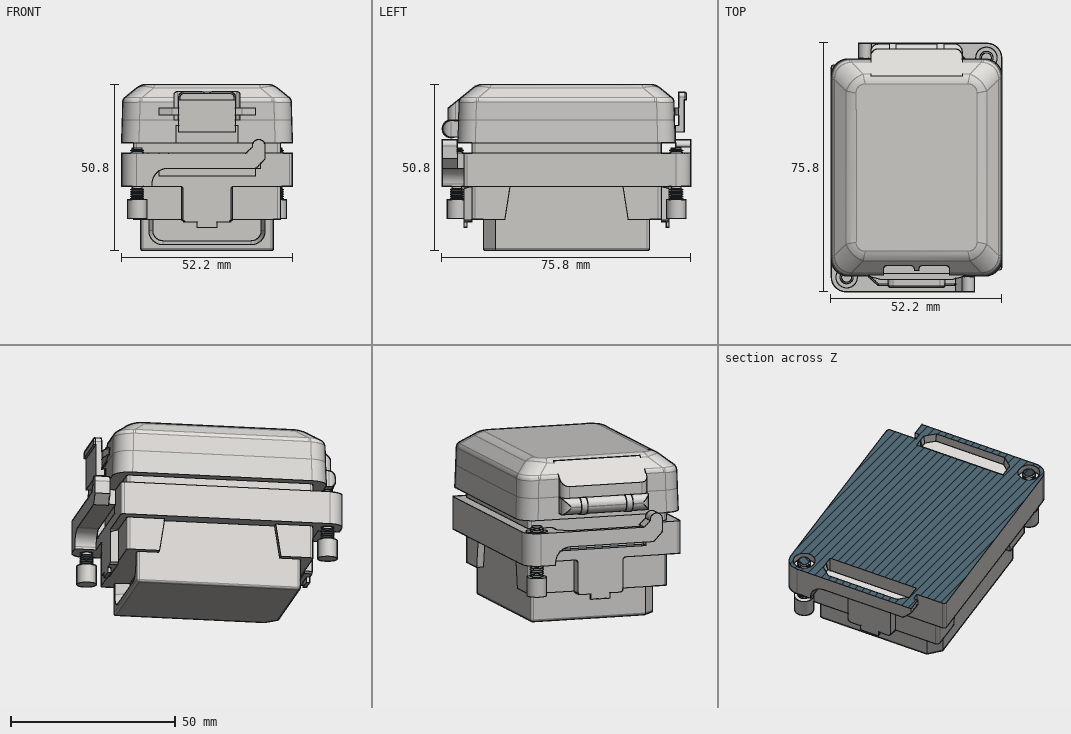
import cadquery as cq
import math

box_top = 9.55
flange_bottom = 19.65
flange_top = 29.7
cover_bottom = 32.9
draft_change = 39.8
shoulder_z = 46.2
cover_top = 50.75

flange_half_x = 26.0
flange_half_y = 31.3
flange_corner = 0.9
neck_half_x = 22.45
neck_half_y = 28.9
neck_corner = 1.0
box_half_x = 20.25
box_half_y = 25.3
box_edge = 0.75
box_bottom_edge = 0.7
box_chamfer = 3.65
skirt_gap_top = 17.2
skirt_gap_bottom = 18.8
arm_outer_y = 37.9
hook_inner_y = 33.3
arm_bottom = 25.1
arm_end_x = 14.95
root_end_x = 16.3
arm_bend_radius = 4.7
arm_bend_x = -16.8
hook_x = 15.8
hook_z = 31.9
hook_radius = 2.0
hook_foot_x = 11.8
hook_neck_z = 31.6
hook_outer_z = 28.1
ear_radius = 4.55
slot_y = 35.95
slot_half_outer = 11.75
slot_half_inner = 14.7
slot_depth = 2.5
slot_draft = 10.0
gap_bottom = 22.75
catch_half_x = 7.35
catch_top = 24.6
catch_depth = 3.0
clip_half_x = 7.3
clip_back_half_x = 7.7
clip_flare = 1.0
clip_bottom = 8.8
clip_edge = 0.6
lip_half_x = 3.0
lip_bottom = 7.1
lip_inner_y = 30.35
window_half_x = 17.75
window_bottom = 1.8
window_corner = 4.3
window_depth = 4.55
window_draft = 1.2

screw_x = 21.3
screw_y = 33.45
thread_diameter = 4.0
core_diameter = 3.0
thread_pitch = 0.7
screw_top = 31.25
cap_diameter = 6.0
cap_bottom = 9.8
cap_height = 5.8
recess_diameter = 6.5
recess_depth = 2.3

cover_half_x = 26.1
cover_half_y = 33.15
cover_corner = 5.3
draft_inset = 0.2
shoulder_inset = 0.4
top_inset = 6.0
top_corner = 5.1
top_blend = 5.0
shoulder_blend = 1.8
hump_half_x = 13.95
hump_corner = 2.3
hump_y = 36.2
bead_radius = 2.5
bead_z = 37.2
rib_x = 7.3
rib_width = 2.05
rib_height = 0.2
pocket_half_x = 10.1
pocket_y = 29.9
pocket_corner = 1.1
pocket_rib_half = 0.7
pocket_rib_length = 1.5
panel_half_x = 9.4
panel_y = 33.3
latch_half_x = 8.65
latch_inner_y = 34.2
latch_outer_y = 35.95
latch_bottom = 36.2
latch_top = 48.4
latch_foot_top = 38.2
latch_lip_bottom = 46.0
latch_lip_y = 36.6
latch_corner = 1.5
latch_edge = 0.45
latch_root = 0.75
wing_bottom = 41.35
wing_top = 43.5
wing_knee_x = 10.6
wing_end_x = 14.7


def span(x0, x1, y0, y1, z0, z1):
    """Box between two corners."""
    return cq.Workplane("XY").box(x1 - x0, y1 - y0, z1 - z0, centered=False).translate((x0, y0, z0))


def extrude_y(profile, y0, y1):
    """Extrude an XZ profile from y0 to y1, with y0 < y1."""
    return profile.extrude(y0 - y1).translate((0, y0, 0))


def both_ends(shape):
    """The shape and its copy turned half a turn about Z."""
    return shape.union(shape.rotate((0, 0, 0), (0, 0, 1), 180))


def rounded_rect(half_x, half_y, corner, z):
    """Rectangle sketch with rounded corners at height z."""
    sketch = cq.Sketch().rect(2 * half_x, 2 * half_y).vertices().fillet(corner)
    return sketch.moved(cq.Location(cq.Vector(0, 0, z)))


def make_arm():
    """Corner ear, sprung bar and hook on the -Y end of the flange."""
    bend = arm_bend_radius * (1 - math.sqrt(0.5))
    hook = (
        cq.Workplane("XZ")
        .moveTo(-flange_half_x, flange_bottom)
        .lineTo(-flange_half_x, flange_top)
        .lineTo(hook_foot_x, flange_top)
        .lineTo(hook_x - hook_radius, hook_neck_z)
        .lineTo(hook_x - hook_radius, hook_z)
        .threePointArc((hook_x, hook_z + hook_radius), (hook_x + hook_radius, hook_z))
        .lineTo(hook_x + hook_radius, hook_outer_z)
        .lineTo(arm_end_x, arm_bottom)
        .lineTo(arm_bend_x + arm_bend_radius, arm_bottom)
        .threePointArc(
            (arm_bend_x + bend, arm_bottom - bend),
            (arm_bend_x, arm_bottom - arm_bend_radius),
        )
        .lineTo(arm_bend_x, flange_bottom)
        .close()
    )
    root = (
        cq.Workplane("XZ")
        .moveTo(-flange_half_x, flange_bottom)
        .lineTo(-flange_half_x, flange_top)
        .lineTo(root_end_x, flange_top)
        .lineTo(root_end_x, arm_bottom)
        .lineTo(arm_bend_x + arm_bend_radius, arm_bottom)
        .threePointArc(
            (arm_bend_x + bend, arm_bottom - bend),
            (arm_bend_x, arm_bottom - arm_bend_radius),
        )
        .lineTo(arm_bend_x, flange_bottom)
        .close()
    )
    arm = extrude_y(hook, -arm_outer_y, -hook_inner_y)
    arm = arm.union(extrude_y(root, -hook_inner_y, -flange_half_y))
    ear_edge = cq.selectors.NearestToPointSelector(
        (-flange_half_x, -arm_outer_y, (flange_bottom + flange_top) / 2)
    )
    return arm.edges(ear_edge).fillet(ear_radius)


def make_slot():
    """Drafted recess in the sprung bar and the deep gap between the bar and the neck."""
    recess = (
        cq.Workplane("XY", origin=(0, 0, flange_top))
        .polyline([
            (-slot_half_inner, -hook_inner_y),
            (-slot_half_outer, -slot_y),
            (slot_half_outer, -slot_y),
            (slot_half_inner, -hook_inner_y),
            (slot_half_inner, -neck_half_y),
            (-slot_half_inner, -neck_half_y),
        ])
        .close()
        .extrude(-slot_depth, taper=slot_draft)
    )
    gap = span(
        -slot_half_inner, slot_half_inner, -flange_half_y, -neck_half_y, gap_bottom, flange_top
    )
    return recess.union(gap)


def make_catch():
    """Opening in the neck, at the bottom of the gap."""
    return span(
        -catch_half_x, catch_half_x, -neck_half_y, catch_depth - neck_half_y, gap_bottom, catch_top
    )


def make_clip():
    """Tab hanging from the flange in front of the skirt, flared at its root, with a small lip."""
    tab = (
        cq.Workplane("XY", origin=(0, 0, clip_bottom))
        .polyline([
            (-clip_half_x, -flange_half_y),
            (clip_half_x, -flange_half_y),
            (clip_back_half_x, -neck_half_y),
            (-clip_back_half_x, -neck_half_y),
        ])
        .close()
        .extrude(flange_bottom - clip_bottom)
    )
    tab = tab.faces("<Z").edges("<X or >X").chamfer(clip_edge)
    flare = span(
        -clip_half_x - clip_flare, clip_half_x + clip_flare, -flange_half_y, -neck_half_y,
        flange_bottom - clip_flare, flange_bottom,
    )
    for side in (-1, 1):
        hollow = (
            cq.Workplane("XZ")
            .center(side * (clip_half_x + clip_flare), flange_bottom - clip_flare)
            .circle(clip_flare)
        )
        flare = flare.cut(extrude_y(hollow, -flange_half_y, -neck_half_y))
    lip = span(-lip_half_x, lip_half_x, -flange_half_y, -lip_inner_y, lip_bottom, clip_bottom)
    return tab.union(flare).union(lip)


def make_screw_hole():
    """Bore for the screw with a wider recess at the top."""
    bore = (
        cq.Workplane("XY", origin=(-screw_x, -screw_y, flange_bottom))
        .circle(thread_diameter / 2)
        .extrude(flange_top - flange_bottom)
    )
    recess = (
        cq.Workplane("XY", origin=(-screw_x, -screw_y, flange_top - recess_depth))
        .circle(recess_diameter / 2)
        .extrude(recess_depth)
    )
    return bore.union(recess)


def make_neck():
    """Rectangular body through the flange; its skirt is open at the middle of both X sides."""
    neck = span(-neck_half_x, neck_half_x, -neck_half_y, neck_half_y, box_top, cover_bottom)
    neck = neck.edges("|Z").fillet(neck_corner)
    side_gap = (
        cq.Workplane("YZ")
        .polyline([
            (-skirt_gap_bottom, box_top),
            (skirt_gap_bottom, box_top),
            (skirt_gap_top, flange_bottom),
            (-skirt_gap_top, flange_bottom),
        ])
        .close()
        .extrude(neck_half_x - box_half_x)
        .translate((box_half_x, 0, 0))
    )
    return neck.cut(both_ends(side_gap))


def make_window():
    """Round-cornered window in the -Y wall of the lower box, narrowing inwards."""
    height = 2 * (box_top - window_bottom)
    draft = math.degrees(math.atan(window_draft / window_depth))
    window = (
        cq.Workplane("XZ", origin=(0, -box_half_y, box_top))
        .sketch()
        .rect(2 * window_half_x, height)
        .vertices()
        .fillet(window_corner)
        .finalize()
        .extrude(-window_depth, taper=draft)
    )
    below_skirt = span(
        -window_half_x, window_half_x, -box_half_y, window_depth - box_half_y, 0, box_top
    )
    return window.intersect(below_skirt)


def make_lower_box():
    """Narrow box with one chamfered corner and the window."""
    box = span(-box_half_x, box_half_x, -box_half_y, box_half_y, 0, flange_bottom)
    box = box.edges("|Z and <X and >Y").chamfer(box_chamfer)
    box = box.edges("|Z and (<Y or >X)").fillet(box_edge)
    box = box.faces("<Z").edges().fillet(box_bottom_edge)
    return box.cut(make_window())


def make_base():
    """Flange with its arms, neck, lower box and clips, bored for the screws."""
    flange = span(
        -flange_half_x, flange_half_x, -flange_half_y, flange_half_y, flange_bottom, flange_top
    )
    flange = flange.edges("|Z and <X and >Y").fillet(flange_corner)
    flange = flange.edges("|Z and >X and <Y").fillet(flange_corner)
    neck = make_neck().cut(both_ends(make_catch()))
    base = flange.union(both_ends(make_arm())).cut(both_ends(make_slot()))
    base = base.union(neck).union(make_lower_box())
    base = base.union(both_ends(make_clip()))
    return base.cut(both_ends(make_screw_hole()))


def make_screw(x, y):
    """Threaded rod with a round cap; the thread is a row of V-shaped rings."""
    core = core_diameter / 2
    major = thread_diameter / 2
    cap_top = cap_bottom + cap_height
    hole_top = flange_top - recess_depth
    screw = cq.Workplane("XY").workplane(offset=cap_bottom).circle(core).extrude(screw_top - cap_bottom)
    cap = cq.Workplane("XY").workplane(offset=cap_bottom).circle(cap_diameter / 2).extrude(cap_height)
    shank = (
        cq.Workplane("XY")
        .workplane(offset=flange_bottom)
        .circle(major)
        .extrude(hole_top - flange_bottom)
    )
    screw = screw.union(cap).union(shank)
    ring = (
        cq.Workplane("XZ")
        .polyline([(0, 0), (core, 0), (major, thread_pitch / 2), (core, thread_pitch), (0, thread_pitch)])
        .close()
        .revolve(360, (0, 0, 0), (0, 1, 0))
    )
    for start, end in ((cap_top, flange_bottom), (hole_top, screw_top)):
        for turn in range(int((end - start) / thread_pitch)):
            screw = screw.union(ring.translate((0, 0, start + turn * thread_pitch)))
    return screw.translate((x, y, 0))


def make_shell():
    """Drafted cover body with a bevelled, blended top."""
    sections = [
        (0, cover_corner, cover_bottom),
        (draft_inset, cover_corner, draft_change),
        (shoulder_inset, cover_corner, shoulder_z),
        (top_inset, top_corner, cover_top),
    ]
    shell = None
    for (inset0, corner0, z0), (inset1, corner1, z1) in zip(sections, sections[1:]):
        layer = (
            cq.Workplane("XY")
            .placeSketch(
                rounded_rect(cover_half_x - inset0, cover_half_y - inset0, corner0, z0),
                rounded_rect(cover_half_x - inset1, cover_half_y - inset1, corner1, z1),
            )
            .loft(ruled=True)
        )
        shell = layer if shell is None else shell.union(layer)
    margin = 0.1
    shoulder_edges = cq.selectors.BoxSelector(
        (-cover_half_x, -cover_half_y, shoulder_z - margin),
        (cover_half_x, cover_half_y, shoulder_z + margin),
        boundingbox=True,
    )
    shell = shell.faces(">Z").edges().fillet(top_blend)
    return shell.edges(shoulder_edges).fillet(shoulder_blend)


def make_hump():
    """Hump on the +Y side that carries the bevel on outwards, with a round bead below it."""
    root_y = cover_half_y - cover_corner
    bevel_slope = (cover_top - shoulder_z) / (top_inset - shoulder_inset)
    shoulder_y = cover_half_y - shoulder_inset
    hump = (
        cq.Workplane("YZ")
        .polyline([
            (root_y, draft_change),
            (hump_y, draft_change),
            (hump_y, shoulder_z - bevel_slope * (hump_y - shoulder_y)),
            (root_y, shoulder_z + bevel_slope * (shoulder_y - root_y)),
        ])
        .close()
        .extrude(hump_half_x, both=True)
        .edges("|Z and >Y")
        .fillet(hump_corner)
    )
    bead_y = arm_outer_y - rib_height - bead_radius
    bead = span(
        -hump_half_x, hump_half_x, root_y, bead_y + bead_radius, bead_z - bead_radius, bead_z + bead_radius
    )
    bead = bead.edges(">Y").fillet(0.98 * bead_radius)
    hump = hump.union(bead)
    for x in (-rib_x, rib_x):
        rib = (
            cq.Workplane("YZ", origin=(x, bead_y, bead_z))
            .circle(bead_radius + rib_height)
            .extrude(rib_width / 2, both=True)
        )
        hump = hump.union(rib)
    return hump


def make_latch_pocket():
    """Pocket behind the latch; a flat rib divides its back half."""
    pocket = span(
        -pocket_half_x, pocket_half_x, -cover_half_y, -pocket_y - pocket_rib_length, draft_change, cover_top
    )
    for x0, x1 in ((-pocket_half_x, -pocket_rib_half), (pocket_rib_half, pocket_half_x)):
        cell = span(x0, x1, -cover_half_y, -pocket_y, draft_change, cover_top)
        pocket = pocket.union(cell.edges("|Z and >Y").fillet(pocket_corner))
    return pocket


def make_latch():
    """Upright latch plate with a foot, a thicker top lip and two side wings."""
    root_y = latch_root - cover_half_y
    plate = span(-latch_half_x, latch_half_x, -latch_outer_y, -latch_inner_y, latch_bottom, latch_top)
    lip = span(-latch_half_x, latch_half_x, -latch_lip_y, -latch_inner_y, latch_lip_bottom, latch_top)
    latch = plate.union(lip).edges("|Y and >Z").fillet(latch_corner)
    latch = latch.faces("<Y").edges(">Z").chamfer(latch_edge)
    foot = span(-latch_half_x, latch_half_x, -latch_inner_y, root_y, latch_bottom, latch_foot_top)
    panel = span(-panel_half_x, panel_half_x, -panel_y, root_y, cover_bottom, latch_foot_top)
    wing = (
        cq.Workplane("XY", origin=(0, 0, wing_bottom))
        .polyline([
            (0, -latch_inner_y),
            (wing_knee_x, -latch_inner_y),
            (wing_end_x, -cover_half_y),
            (wing_end_x, root_y),
            (0, root_y),
        ])
        .close()
        .extrude(wing_top - wing_bottom)
    )
    return latch.union(foot).union(panel).union(wing).union(wing.mirror("YZ"))


def make_cover():
    """Cover shell with its hump, latch pocket and latch."""
    cover = make_shell().union(make_hump())
    return cover.cut(make_latch_pocket()).union(make_latch())


base = make_base()
cover = make_cover()
screws = [make_screw(side * screw_x, side * screw_y) for side in (-1, 1)]

result = cq.Compound.makeCompound([base.val(), cover.val(), *[screw.val() for screw in screws]])